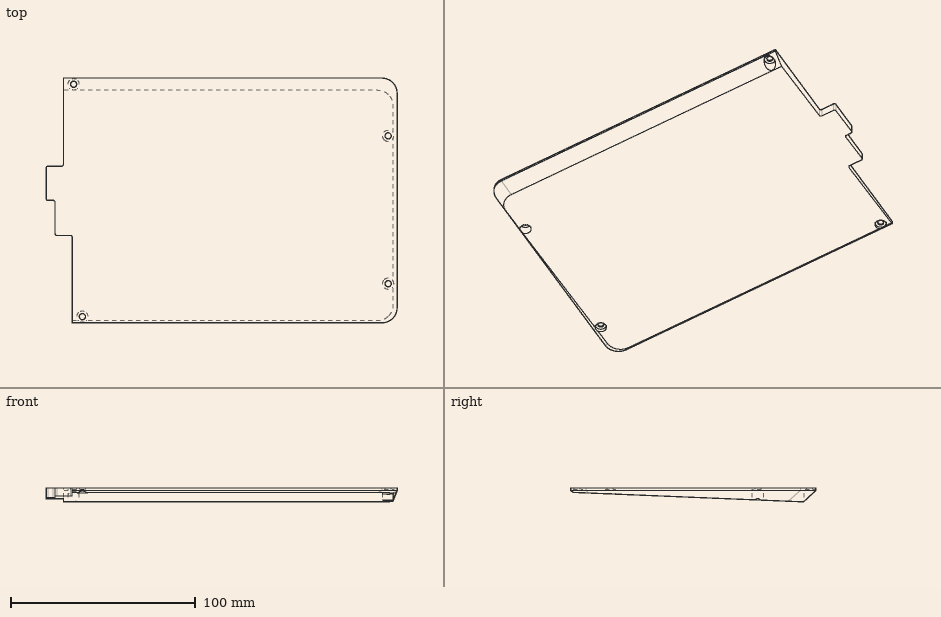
import cadquery as cq

length = 190.1
width = 132.7
height = 7.6
corner_radius = 8.4

front_left_x = 14.0
lower_tab_x = 4.8
rear_left_x = 9.3
lower_tab_y = -19.0
middle_y = 0.0
upper_tab_y = 18.6
step_fillet = 1.0

rim_height = 1.43
front_thickness = 2.5
front_inset = 1.3
rear_inset = 6.7
right_inset = 2.3

hole_diameter = 3.2
counterbore_diameter = 6.0
counterbore_ceiling = 1.0
hole_edge_gap = 3.5
hole_left_gap = 5.5
right_hole_gap = 5.0
right_hole_rear_y = 35.0
right_hole_front_y = -45.0

half_width = width / 2
hole_y = half_width - hole_edge_gap


def rounded_sheet(workplane, right, front, rear):
    """Rectangle with its two right-hand corners rounded."""
    arc_x = right - corner_radius
    diagonal = corner_radius * (1 - 0.5 ** 0.5)
    return (
        workplane.moveTo(0, front)
        .lineTo(arc_x, front)
        .threePointArc((right - diagonal, front + diagonal), (right, front + corner_radius))
        .lineTo(right, rear - corner_radius)
        .threePointArc((right - diagonal, rear - diagonal), (arc_x, rear))
        .lineTo(0, rear)
        .close()
    )


def wedge_body():
    """Thin straight rim above a tapered body, cut off below by the sloping underside."""
    rim = rounded_sheet(cq.Workplane("XY"), length, -half_width, half_width).extrude(-rim_height)

    bottom_front = -half_width + front_inset
    bottom_rear = half_width - rear_inset
    drop = height - front_thickness
    run = bottom_rear - bottom_front
    slope_length = (run ** 2 + drop ** 2) ** 0.5
    underside = cq.Plane(
        origin=(0, bottom_front, -front_thickness), xDir=(1, 0, 0), normal=(0, drop, run)
    )
    top_wire = rounded_sheet(
        cq.Workplane("XY").workplane(offset=-rim_height), length, -half_width, half_width
    ).wire().val()
    bottom_wire = rounded_sheet(
        cq.Workplane(underside), length - right_inset, 0, slope_length
    ).wire().val()
    taper = cq.Solid.makeLoft([top_wire, bottom_wire], True)
    return rim.union(cq.Workplane(obj=taper))


def stepped_outline():
    """Full-height block that trims the left edge into its stepped, softened tabs."""
    block = (
        cq.Workplane("XY")
        .polyline([
            (front_left_x, -half_width),
            (length, -half_width),
            (length, half_width),
            (rear_left_x, half_width),
            (rear_left_x, upper_tab_y),
            (0, upper_tab_y),
            (0, middle_y),
            (lower_tab_x, middle_y),
            (lower_tab_x, lower_tab_y),
            (front_left_x, lower_tab_y),
        ])
        .close()
        .extrude(-height)
    )
    step_corners = [
        (rear_left_x, upper_tab_y),
        (0, upper_tab_y),
        (0, middle_y),
        (lower_tab_x, middle_y),
        (lower_tab_x, lower_tab_y),
        (front_left_x, lower_tab_y),
    ]
    for x, y in step_corners:
        nearest = cq.selectors.NearestToPointSelector((x, y, -height / 2))
        block = block.edges("|Z").edges(nearest).fillet(step_fillet)
    return block


def screw_holes():
    """Through holes, each counterbored from the underside."""
    centres = [
        (rear_left_x + hole_left_gap, hole_y),
        (front_left_x + hole_left_gap, -hole_y),
        (length - right_hole_gap, right_hole_rear_y),
        (length - right_hole_gap, right_hole_front_y),
    ]
    bores = cq.Workplane("XY").pushPoints(centres).circle(hole_diameter / 2).extrude(-height)
    counterbores = (
        cq.Workplane("XY")
        .workplane(offset=-counterbore_ceiling)
        .pushPoints(centres)
        .circle(counterbore_diameter / 2)
        .extrude(counterbore_ceiling - height)
    )
    return bores.union(counterbores)


result = wedge_body().intersect(stepped_outline()).cut(screw_holes())